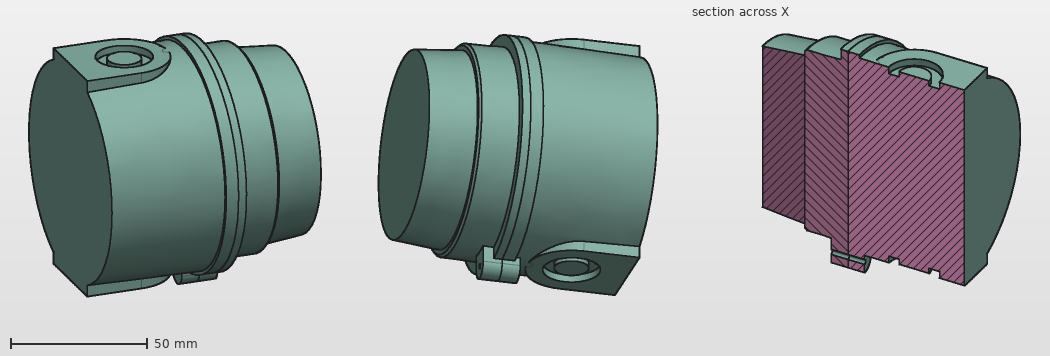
import cadquery as cq


base_flange_start = 44.1
joint_y = 48.9
bezel_flange_end = 52.0
bezel_end = 67.2
lens_end = 85.0

flange_radius = 44.3
base_front_radius = 41.9
base_rear_radius = 43.0
bezel_front_radius = 39.8
bezel_rear_radius = 39.55
bezel_chamfer = 0.9
lens_front_radius = 36.9
lens_rear_radius = 35.2

pad_half_width = 17.0
pad_height = 42.8
entry_y = 21.2
recess_radius = 10.6
island_radius = 6.3
recess_depth = 2.8
island_height = 2.2

overall_height = 94.6
lug_radius = 4.7
lug_centre_z = flange_radius - overall_height + lug_radius
lug_hole_diameter = 1.9
lug_front = 42.0
lug_rear = 56.1


def turned(outline):
    """Revolve an outline of (radius, Y) points around the Y axis."""
    axis_start = (0, outline[0][1])
    axis_end = (0, outline[-1][1])
    profile = cq.Workplane("XY").polyline([axis_start, *outline, axis_end]).close()
    return profile.revolve(360, (0, 0, 0), (0, 1, 0))


def lug_slab(start_y, end_y):
    """Round-ended tab reaching up into the body."""
    length = end_y - start_y
    plane = cq.Workplane("XZ", origin=(0, end_y, 0))
    slab = (
        plane.moveTo(-lug_radius, 0)
        .lineTo(-lug_radius, lug_centre_z)
        .threePointArc((0, lug_centre_z - lug_radius), (lug_radius, lug_centre_z))
        .lineTo(lug_radius, 0)
        .close()
        .extrude(length)
    )
    hole = plane.center(0, lug_centre_z).circle(lug_hole_diameter / 2).extrude(length)
    return slab.cut(hole)


def entry_pads():
    """Round-ended block passing through the base to form both pads."""
    return (
        cq.Workplane("XY", origin=(0, 0, -pad_height))
        .moveTo(-pad_half_width, 0)
        .lineTo(-pad_half_width, entry_y)
        .threePointArc((0, entry_y + pad_half_width), (pad_half_width, entry_y))
        .lineTo(pad_half_width, 0)
        .close()
        .extrude(2 * pad_height)
    )


def entry_recess():
    """Ring-shaped recess in the upper pad, leaving a low round island."""
    floor = cq.Workplane("XY", origin=(0, entry_y, pad_height - recess_depth))
    island = floor.circle(island_radius).extrude(island_height)
    return floor.circle(recess_radius).extrude(recess_depth).cut(island)


def make_base():
    shell = turned([
        (base_front_radius, 0),
        (base_rear_radius, base_flange_start),
        (flange_radius, base_flange_start),
        (flange_radius, joint_y),
    ])
    upper_recess = entry_recess()
    lower_recess = upper_recess.mirror("XY")
    pads = entry_pads().cut(upper_recess).cut(lower_recess)
    return (
        shell.union(pads)
        .cut(upper_recess)
        .cut(lower_recess)
        .union(lug_slab(lug_front, joint_y))
    )


def make_bezel():
    ring = turned([
        (flange_radius, joint_y),
        (flange_radius, bezel_flange_end),
        (bezel_front_radius, bezel_flange_end),
        (bezel_rear_radius, bezel_end - bezel_chamfer),
        (bezel_rear_radius - bezel_chamfer, bezel_end),
    ])
    return ring.union(lug_slab(joint_y, lug_rear))


def make_lens():
    return turned([
        (lens_front_radius, bezel_end),
        (lens_rear_radius, lens_end),
    ])


base = make_base()
bezel = make_bezel()
lens = make_lens()

result = cq.Compound.makeCompound([base.val(), bezel.val(), lens.val()])